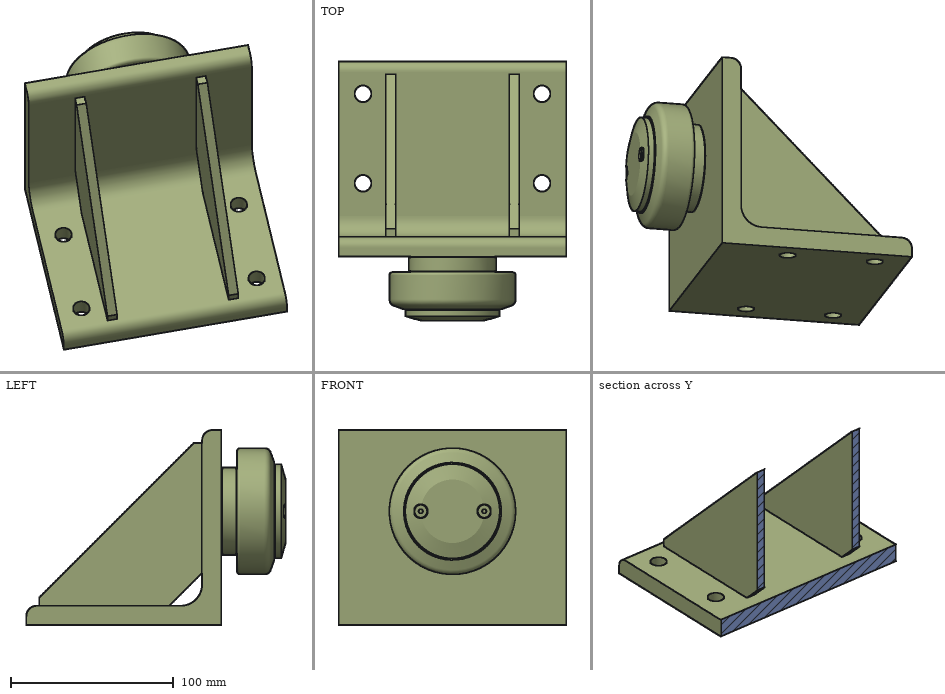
import cadquery as cq
import math

bracket_width = 140.0
leg_length = 120.0
plate_thickness = 12.0
inner_radius = 13.0
toe_radius = 6.5

hole_diameter = 10.11
hole_offset_x = 55.0
hole_rows_y = (45.0, 100.0)

rib_thickness = 6.0
rib_inner_offset_x = 35.0
rib_reach = 112.0
rib_end_height = 5.0
rib_corner_cut = 20.0

axis_height = 70.0
neck_diameter = 54.0
neck_groove_diameter = 52.0
neck_groove_width = 0.5
ring_back_depth = 9.5
ring_diameter = 77.7
ring_front_depth = 32.5
ring_front_diameter = 60.0
ring_back_radius = 2.0
ring_front_radius = 4.0
ring_cone_angle = 20.0
cap_gap = 0.5
cap_diameter = 58.0
cap_cone_depth = 36.7
cap_face_diameter = 39.0
roller_depth = 39.5

screw_offset_x = 19.5
recess_diameter = 8.6
recess_depth = 1.2
screw_head_diameter = 7.8
screw_head_height = 0.1
socket_width = 2.5
socket_depth = 1.5


def make_angle():
    """L-shaped section with a rounded inner corner and rounded toes."""
    angle = (
        cq.Workplane("YZ")
        .polyline([
            (0, 0),
            (leg_length, 0),
            (leg_length, plate_thickness),
            (plate_thickness, plate_thickness),
            (plate_thickness, leg_length),
            (0, leg_length),
        ])
        .close()
        .extrude(bracket_width / 2, both=True)
    )
    inner_corner = cq.selectors.NearestToPointSelector((0, plate_thickness, plate_thickness))
    base_toe = cq.selectors.NearestToPointSelector((0, leg_length, plate_thickness))
    upright_toe = cq.selectors.NearestToPointSelector((0, plate_thickness, leg_length))
    angle = angle.edges(inner_corner).fillet(inner_radius)
    return angle.edges(base_toe).fillet(toe_radius).edges(upright_toe).fillet(toe_radius)


def drill_base(angle):
    """Four through holes in the base plate."""
    centers = [(x, y) for x in (-hole_offset_x, hole_offset_x) for y in hole_rows_y]
    holes = cq.Workplane("XY").pushPoints(centers).circle(hole_diameter / 2).extrude(plate_thickness)
    return angle.cut(holes)


def make_rib(start_x):
    """Triangular web with blunt ends and a clipped inner corner."""
    blunt_end = plate_thickness + rib_end_height
    clip_end = plate_thickness + rib_corner_cut
    return (
        cq.Workplane("YZ", origin=(start_x, 0, 0))
        .polyline([
            (clip_end, plate_thickness),
            (rib_reach, plate_thickness),
            (rib_reach, blunt_end),
            (blunt_end, rib_reach),
            (plate_thickness, rib_reach),
            (plate_thickness, clip_end),
        ])
        .close()
        .extrude(rib_thickness)
    )


def turn(profile):
    """Revolve a closed (radius, Y) profile about the roller axis."""
    return profile.close().revolve(axisStart=(0, 0, 0), axisEnd=(0, 1, 0)).translate((0, 0, axis_height))


def make_neck_and_cap():
    """Mounting neck with a groove at each end, core and cone-faced cap."""
    neck_radius = neck_diameter / 2
    groove_radius = neck_groove_diameter / 2
    cap_radius = cap_diameter / 2
    neck_end_depth = ring_back_depth - neck_groove_width
    cap_back_depth = ring_front_depth + cap_gap
    return turn(
        cq.Workplane("XY").polyline([
            (0, 0),
            (groove_radius, 0),
            (groove_radius, -neck_groove_width),
            (neck_radius, -neck_groove_width),
            (neck_radius, -neck_end_depth),
            (groove_radius, -neck_end_depth),
            (groove_radius, -cap_back_depth),
            (cap_radius, -cap_back_depth),
            (cap_radius, -cap_cone_depth),
            (cap_face_diameter / 2, -roller_depth),
            (0, -roller_depth),
        ])
    )


def make_ring():
    """Running ring with a rounded back rim and a rounded shoulder into a front cone."""
    outer_radius = ring_diameter / 2
    front_radius = ring_front_diameter / 2
    cone_angle = math.radians(ring_cone_angle)
    shoulder_depth = ring_front_depth - (outer_radius - front_radius) * math.tan(cone_angle)

    shoulder_turn = math.pi / 2 - cone_angle
    tangent_length = ring_front_radius * math.tan(shoulder_turn / 2)
    arc_start_depth = shoulder_depth - tangent_length
    arc_center_radius = outer_radius - ring_front_radius

    def arc_point(angle):
        return (
            arc_center_radius + ring_front_radius * math.cos(angle),
            -arc_start_depth - ring_front_radius * math.sin(angle),
        )

    profile = (
        cq.Workplane("XY")
        .moveTo(0, -ring_back_depth)
        .lineTo(outer_radius - ring_back_radius, -ring_back_depth)
        .radiusArc((outer_radius, -ring_back_depth - ring_back_radius), ring_back_radius)
        .lineTo(*arc_point(0))
        .threePointArc(arc_point(shoulder_turn / 2), arc_point(shoulder_turn))
        .lineTo(front_radius, -ring_front_depth)
        .lineTo(0, -ring_front_depth)
    )
    return turn(profile)


def forward_disc(center_x, diameter, start_depth, length):
    """Disc parallel to the roller axis, from a given depth forward."""
    center = (center_x, -start_depth, axis_height)
    return cq.Workplane("XZ", origin=center).circle(diameter / 2).extrude(length)


def add_cap_screw(roller, center_x):
    """Sink a round recess into the cap and stand a screw head with a hex socket in it."""
    floor_depth = roller_depth - recess_depth
    socket_floor_depth = floor_depth + screw_head_height - socket_depth
    hexagon_corners = 6
    socket_corner_diameter = socket_width / math.cos(math.pi / hexagon_corners)
    recess = forward_disc(center_x, recess_diameter, floor_depth, recess_depth)
    head = forward_disc(center_x, screw_head_diameter, floor_depth, screw_head_height)
    socket = (
        cq.Workplane("XZ", origin=(center_x, -socket_floor_depth, axis_height))
        .polygon(hexagon_corners, socket_corner_diameter)
        .extrude(socket_depth)
    )
    return roller.cut(recess).union(head).cut(socket)


def make_roller():
    """Neck, ring and cap, with a cap screw on each side of the axis."""
    roller = make_neck_and_cap().union(make_ring())
    for center_x in (-screw_offset_x, screw_offset_x):
        roller = add_cap_screw(roller, center_x)
    return roller


def make_bracket():
    """Drilled angle with two stiffening ribs."""
    bracket = drill_base(make_angle())
    for start_x in (-rib_inner_offset_x - rib_thickness, rib_inner_offset_x):
        bracket = bracket.union(make_rib(start_x))
    return bracket


result = make_bracket().union(make_roller())